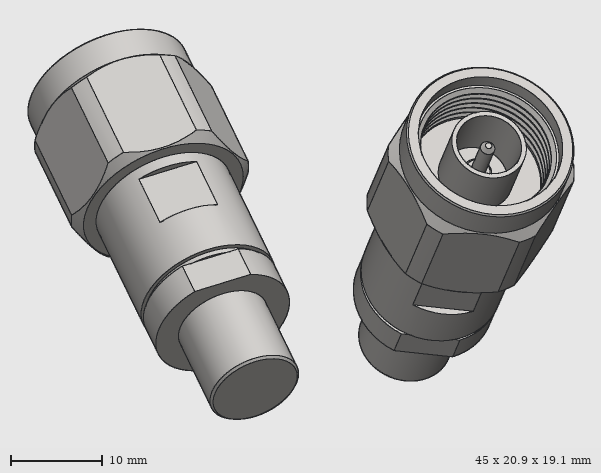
import cadquery as cq
import math

TOTAL_LENGTH = 45.0
COLLAR_END = 3.85
NUT_END = 17.1
FLAT_START = 18.45
FLAT_END = 24.85
BODY_END = 30.8
NECK_END = 31.35
RING_END = 35.15

COLLAR_RADIUS = 9.4
COLLAR_CHAMFER = 0.2
HEX_ACROSS_FLATS = 19.05
HEX_CORNER_RADIUS = 10.45
HEX_CHAMFER = 1.05

BODY_RADIUS = 7.9
NECK_RADIUS = 7.43
RING_RADIUS = 7.88
FLAT_HEIGHT = 7.15
TAIL_RADIUS = 5.2
TAIL_CHAMFER = 0.25

MOUTH_RADIUS = 8.1
MOUTH_DEPTH = 1.95
THREAD_MINOR_RADIUS = 7.35
THREAD_MAJOR_RADIUS = 7.85
THREAD_PITCH = 1.05
THREAD_CREST_WIDTH = 0.2
THREAD_TURNS = 6
SOCKET_DEPTH = 7.9

SLEEVE_START = 0.75
SLEEVE_OUTER_RADIUS = 4.2
SLEEVE_INNER_RADIUS = 3.65
PIN_START = 1.0
PIN_RADIUS = 0.8
PIN_TIP_RADIUS = 0.35
PIN_TIP_LENGTH = 0.55
PIN_BASE_RADIUS = 1.58
PIN_BASE_LENGTH = 1.35
PIN_BASE_CHAMFER = 0.23


def cylinder(radius, start, end):
    """Solid cylinder on the X axis."""
    return cq.Workplane("YZ", origin=(start, 0, 0)).circle(radius).extrude(end - start)


def make_nut():
    """Round collar followed by a hexagon with turned-down corners."""
    collar = cylinder(COLLAR_RADIUS, 0, COLLAR_END).faces("<X").chamfer(COLLAR_CHAMFER)
    across_corners = HEX_ACROSS_FLATS / math.cos(math.pi / 6)
    hexagon = (
        cq.Workplane("YZ", origin=(COLLAR_END, 0, 0))
        .polygon(6, across_corners)
        .extrude(NUT_END - COLLAR_END)
    )
    corner_limit = cylinder(HEX_CORNER_RADIUS, COLLAR_END, NUT_END).faces("<X or >X").chamfer(HEX_CHAMFER)
    return collar.union(hexagon.intersect(corner_limit))


def between_flats(shape, start, end):
    """Cut a pair of parallel flats, above and below the axis, over one stretch of a shape."""
    width = 2 * BODY_RADIUS
    for side in (1, -1):
        cutter = cq.Workplane("XY").box(end - start, width, width)
        shift = ((start + end) / 2, 0, side * (FLAT_HEIGHT + width / 2))
        shape = shape.cut(cutter.translate(shift))
    return shape


def make_rear_body():
    """Body with wrench flats, narrow neck, flatted ring and cable tail."""
    body = between_flats(cylinder(BODY_RADIUS, NUT_END, BODY_END), FLAT_START, FLAT_END)
    neck = cylinder(NECK_RADIUS, BODY_END, NECK_END)
    ring = between_flats(cylinder(RING_RADIUS, NECK_END, RING_END), NECK_END, RING_END)
    tail = cylinder(TAIL_RADIUS, RING_END, TOTAL_LENGTH).faces(">X").chamfer(TAIL_CHAMFER)
    return body.union(neck).union(ring).union(tail)


def make_socket():
    """Stepped bore, with the thread simplified to a row of V-shaped ring grooves."""
    profile = (
        cq.Workplane("XY")
        .lineTo(0, MOUTH_RADIUS)
        .lineTo(MOUTH_DEPTH, MOUTH_RADIUS)
        .lineTo(MOUTH_DEPTH, THREAD_MAJOR_RADIUS)
    )
    flank_length = (THREAD_PITCH - THREAD_CREST_WIDTH) / 2
    for turn in range(THREAD_TURNS):
        groove_start = MOUTH_DEPTH + turn * THREAD_PITCH
        if turn > 0:
            profile = profile.lineTo(groove_start, THREAD_MAJOR_RADIUS)
        profile = profile.lineTo(groove_start + flank_length, THREAD_MINOR_RADIUS)
        crest_end = groove_start + flank_length + THREAD_CREST_WIDTH
        profile = profile.lineTo(crest_end, THREAD_MINOR_RADIUS)
    profile = profile.lineTo(SOCKET_DEPTH, THREAD_MINOR_RADIUS).lineTo(SOCKET_DEPTH, 0).close()
    return profile.revolve(360, (0, 0, 0), (1, 0, 0))


def make_contacts():
    """Hollow contact sleeve with a pointed pin standing on a low chamfered base."""
    sleeve = cylinder(SLEEVE_OUTER_RADIUS, SLEEVE_START, SOCKET_DEPTH)
    sleeve = sleeve.cut(cylinder(SLEEVE_INNER_RADIUS, SLEEVE_START, SOCKET_DEPTH))
    base_start = SOCKET_DEPTH - PIN_BASE_LENGTH
    pin_profile = [
        (PIN_START, 0),
        (PIN_START, PIN_TIP_RADIUS),
        (PIN_START + PIN_TIP_LENGTH, PIN_RADIUS),
        (base_start, PIN_RADIUS),
        (base_start, PIN_BASE_RADIUS - PIN_BASE_CHAMFER),
        (base_start + PIN_BASE_CHAMFER, PIN_BASE_RADIUS),
        (SOCKET_DEPTH, PIN_BASE_RADIUS),
        (SOCKET_DEPTH, 0),
    ]
    pin = cq.Workplane("XY").polyline(pin_profile).close().revolve(360, (0, 0, 0), (1, 0, 0))
    return sleeve.union(pin)


result = make_nut().union(make_rear_body()).cut(make_socket()).union(make_contacts())